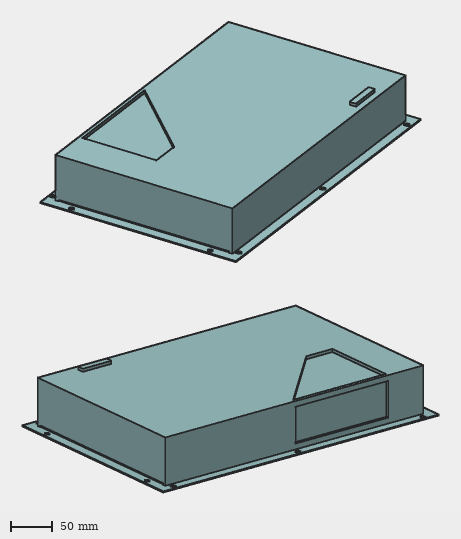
import cadquery as cq

FLANGE_LENGTH_X = 275.0
FLANGE_LENGTH_Y = 414.6
FLANGE_THICKNESS = 1.5
TOTAL_HEIGHT = 67.3

FLANGE_MARGIN = 13.0
BOX_LENGTH_X = FLANGE_LENGTH_X - 2 * FLANGE_MARGIN
BOX_LENGTH_Y = FLANGE_LENGTH_Y - 2 * FLANGE_MARGIN
BAR_HEIGHT = 4.0
BOX_TOP = TOTAL_HEIGHT - BAR_HEIGHT
BOX_LEFT = -BOX_LENGTH_X / 2
INNER_MARGIN = 5.0

WALL_GAP_HEIGHT = 1.5
WALL_GAP_DEPTH = 1.0
WALL_GAP_LENGTH = BOX_LENGTH_X - 2 * INNER_MARGIN

BAR_WIDTH = 9.0
BAR_LENGTH = 43.0
BAR_CENTRE_X = 111.0
BAR_CENTRE_Y = 118.5
BAR_CORNER_RADIUS = 0.5

RECESS_Y_START = -141.5
RECESS_Y_END = -2.0
TOP_RECESS_DEPTH = 4.0
TOP_RECESS_LEFT = BOX_LEFT + INNER_MARGIN
TOP_RECESS_RIGHT = -15.4
TOP_RECESS_CORNER_Y = -102.0
WALL_RECESS_DEPTH = 3.9
WALL_RECESS_BOTTOM = 9.0
WALL_RECESS_TOP = 56.0

END_SLOT_LENGTH = 6.5
END_SLOT_WIDTH = 5.0
END_SLOT_X = 97.5
END_SLOT_Y = 200.9

SIDE_SLOT_LENGTH = 7.5
SIDE_SLOT_WIDTH = 5.5
SIDE_SLOT_PITCH_X = 261.6
SIDE_SLOT_PITCH_Y = 187.2
SIDE_SLOT_CENTRE_X = -1.1
SIDE_SLOT_SHIFT_X = 1.0


def make_block(length_x, length_y, z_bottom, z_top):
    """Rectangular block centred on the Z axis."""
    block = cq.Workplane("XY").workplane(offset=z_bottom)
    return block.rect(length_x, length_y).extrude(z_top - z_bottom)


def make_wall_gap(side):
    """Narrow groove at the foot of the wall at side * Y."""
    centre_y = side * (BOX_LENGTH_Y - WALL_GAP_DEPTH) / 2
    gap = make_block(WALL_GAP_LENGTH, WALL_GAP_DEPTH, FLANGE_THICKNESS, FLANGE_THICKNESS + WALL_GAP_HEIGHT)
    return gap.translate((0, centre_y, 0))


def make_bar():
    """Raised bar with slightly rounded upright corners."""
    return (
        cq.Workplane("XY")
        .workplane(offset=BOX_TOP)
        .center(BAR_CENTRE_X, BAR_CENTRE_Y)
        .rect(BAR_WIDTH, BAR_LENGTH)
        .extrude(BAR_HEIGHT)
        .edges("|Z")
        .fillet(BAR_CORNER_RADIUS)
    )


def make_top_recess():
    """Shallow recess in the top face with one slanted side."""
    outline = [
        (TOP_RECESS_LEFT, RECESS_Y_START),
        (TOP_RECESS_RIGHT, RECESS_Y_START),
        (TOP_RECESS_RIGHT, TOP_RECESS_CORNER_Y),
        (TOP_RECESS_LEFT, RECESS_Y_END),
    ]
    floor = cq.Workplane("XY").workplane(offset=BOX_TOP - TOP_RECESS_DEPTH)
    return floor.polyline(outline).close().extrude(TOP_RECESS_DEPTH)


def make_wall_recess():
    """Shallow rectangular recess in the -X wall."""
    return cq.Workplane("XY").box(
        WALL_RECESS_DEPTH,
        RECESS_Y_END - RECESS_Y_START,
        WALL_RECESS_TOP - WALL_RECESS_BOTTOM,
        centered=False,
    ).translate((BOX_LEFT, RECESS_Y_START, WALL_RECESS_BOTTOM))


def make_end_slots():
    """Two short slots along each short side of the flange."""
    centres = cq.Workplane("XY").rect(2 * END_SLOT_X, 2 * END_SLOT_Y, forConstruction=True).vertices()
    return centres.slot2D(END_SLOT_LENGTH, END_SLOT_WIDTH).extrude(FLANGE_THICKNESS)


def make_side_slots():
    """Three slots along each long side of the flange."""
    points = []
    for row in (-1, 0, 1):
        row_centre_x = SIDE_SLOT_CENTRE_X + row * SIDE_SLOT_SHIFT_X
        for side in (-1, 1):
            points.append((row_centre_x + side * SIDE_SLOT_PITCH_X / 2, row * SIDE_SLOT_PITCH_Y))
    slots = cq.Workplane("XY").pushPoints(points).slot2D(SIDE_SLOT_LENGTH, SIDE_SLOT_WIDTH)
    return slots.extrude(FLANGE_THICKNESS)


flange = make_block(FLANGE_LENGTH_X, FLANGE_LENGTH_Y, 0, FLANGE_THICKNESS)
flange = flange.cut(make_end_slots()).cut(make_side_slots())
box = make_block(BOX_LENGTH_X, BOX_LENGTH_Y, 0, BOX_TOP)

result = flange.union(box)
for wall_side in (-1, 1):
    result = result.cut(make_wall_gap(wall_side))
result = result.union(make_bar()).cut(make_top_recess()).cut(make_wall_recess())